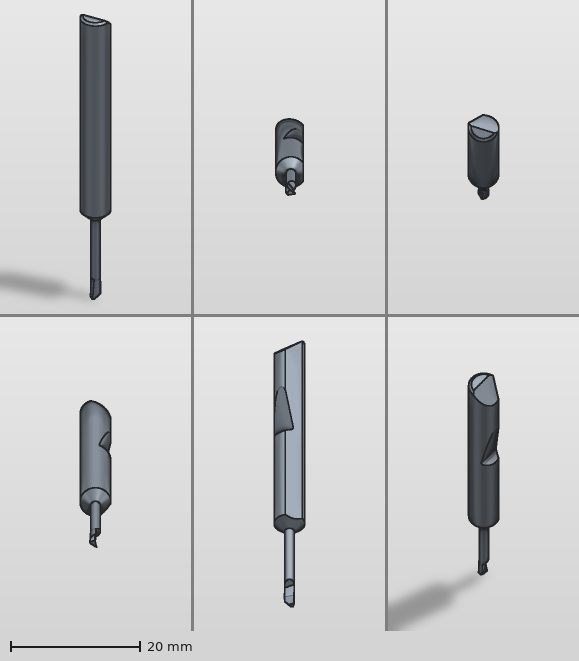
import cadquery as cq

length = 50.8
shank_radius = 2.4
neck_radius = 0.75
head_radius = 0.85
cutter_reach = 3.05

head_top = 3.65
neck_top = 14.35
shank_bottom = 15.85

rear_chamfer_width = 0.45
rear_chamfer_height = 0.35
rear_slope_start_y = -0.5

flat_angle = 146.0
flat_distance = 1.95

notch_top = 41.05
notch_root = 32.8
notch_bottom = 32.2
notch_depth = 1.25
notch_corner_radius = 0.5

twist_height = 1.8
ramp_start_z = 3.65
ramp_turn = 35.0
land_y = -0.05
rake_inner_y = -0.28
rake_top_inner_y = -0.43
rake_outer_y = 0.33
corner_x = -0.7
nose_x = 0.2
nose_z = 0.2
chamfer_end_z = 0.95
heel_tip_x = -0.075
heel_top_x = 0.2


def make_body():
    """Turned shank, cone, neck and slightly flared head."""
    return (
        cq.Workplane("XZ")
        .moveTo(0, 0)
        .lineTo(head_radius, 0)
        .lineTo(neck_radius, head_top)
        .lineTo(neck_radius, neck_top)
        .lineTo(shank_radius, shank_bottom)
        .lineTo(shank_radius, length - rear_chamfer_height)
        .lineTo(shank_radius - rear_chamfer_width, length)
        .lineTo(0, length)
        .close()
        .revolve(360, (0, 0, 0), (0, 1, 0))
    )


def prism_along_x(points):
    """Cutter with a Y-Z outline, reaching right through the part."""
    return cq.Workplane("YZ").polyline(points).close().extrude(cutter_reach, both=True)


def ruled_cutter(lower, lower_z, upper, upper_z):
    """Cutter blended between two X-Y outlines at different heights."""
    return (
        cq.Workplane("XY", origin=(0, 0, lower_z))
        .polyline(lower)
        .close()
        .workplane(offset=upper_z - lower_z)
        .polyline(upper)
        .close()
        .loft(ruled=True)
    )


def shank_flat():
    height = length - neck_top
    return (
        cq.Workplane("XY")
        .box(cutter_reach, 2 * cutter_reach, height, centered=(False, True, False))
        .translate((flat_distance, 0, neck_top))
        .rotate((0, 0, 0), (0, 0, 1), flat_angle)
    )


def rear_slope():
    """45 degree cut across the rear end."""
    run = cutter_reach - rear_slope_start_y
    return prism_along_x([
        (rear_slope_start_y, length),
        (cutter_reach, length - run),
        (cutter_reach, length),
    ])


def clamping_notch():
    root_y = shank_radius - notch_depth
    notch = prism_along_x([
        (shank_radius, notch_top),
        (root_y, notch_root),
        (shank_radius, notch_bottom),
        (cutter_reach, notch_bottom),
        (cutter_reach, notch_top),
    ])
    root_edge = cq.selectors.NearestToPointSelector((0, root_y, notch_root))
    return notch.edges(root_edge).fillet(notch_corner_radius)


def rake_outline(inner_y, outer_y):
    """Everything on the +Y side of a line from the -X to the +X side of the head."""
    return [
        (-head_radius, inner_y),
        (head_radius, outer_y),
        (cutter_reach, outer_y),
        (cutter_reach, cutter_reach),
        (-cutter_reach, cutter_reach),
        (-cutter_reach, inner_y),
    ]


def rake_face():
    """Level land at the tip, twisting into a tilted rake face that ends in a 45 degree ramp."""
    land = rake_outline(land_y, land_y)
    middle = rake_outline(rake_inner_y, rake_outer_y)
    top = rake_outline(rake_top_inner_y, rake_outer_y)
    ramp_top_z = ramp_start_z + cutter_reach
    tip = ruled_cutter(land, 0, middle, twist_height)
    upper = ruled_cutter(middle, twist_height, top, ramp_top_z)
    below_ramp = prism_along_x([
        (-cutter_reach, 0),
        (-cutter_reach, ramp_start_z - cutter_reach),
        (cutter_reach, ramp_start_z + cutter_reach),
        (cutter_reach, 0),
    ]).rotate((0, 0, 0), (0, 0, 1), ramp_turn)
    return tip.union(upper).intersect(below_ramp)


def clearance_outline(inner, outer):
    """Everything on the -X -Y side of the line through two points."""
    return [
        inner,
        outer,
        (outer[0], -cutter_reach),
        (-cutter_reach, -cutter_reach),
        (-cutter_reach, inner[1]),
    ]


def clearance_face():
    """Ground relief behind the cutting corner."""
    return ruled_cutter(
        clearance_outline((-head_radius, land_y), (heel_tip_x, -head_radius)),
        0,
        clearance_outline((-neck_radius, rake_inner_y), (heel_top_x, -neck_radius)),
        head_top,
    )


def nose_cut():
    """Sloped end edge and the chamfer on the +X side of the tip."""
    return (
        cq.Workplane("XZ")
        .polyline([
            (corner_x, 0),
            (nose_x, nose_z),
            (head_radius, chamfer_end_z),
            (cutter_reach, chamfer_end_z),
            (cutter_reach, 0),
        ])
        .close()
        .extrude(cutter_reach, both=True)
    )


result = make_body()
for cutter in (
    shank_flat(),
    rear_slope(),
    clamping_notch(),
    rake_face(),
    clearance_face(),
    nose_cut(),
):
    result = result.cut(cutter)